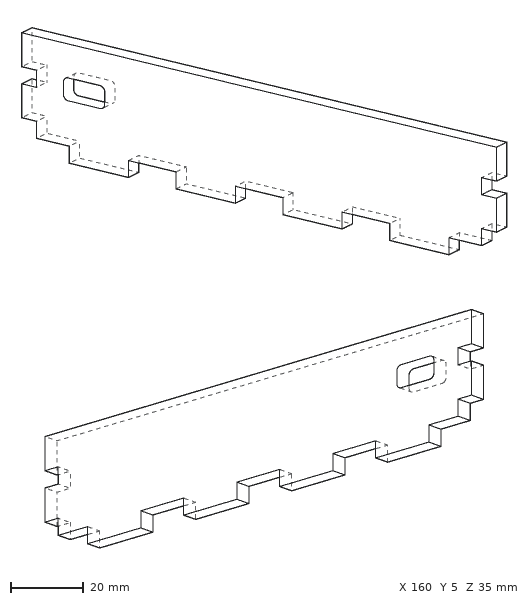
import cadquery as cq

length = 160.0
thickness = length / 32
height = 7 * thickness

joint = thickness
body_height = height - joint

tab_count = 4
tab_width = 4 * joint
tab_pitch = 36.0

notch_top = 2 * joint

window_width = 14.0
window_height = 6.7
window_radius = 1.6
window_left = 14.0
window_top = notch_top


def block(width, tall, center_x, top_z):
    """Full-thickness block, placed by its middle in X and its top in Z."""
    return cq.Workplane("XY").box(width, thickness, tall).translate((center_x, 0, top_z - tall / 2))


def make_body():
    return block(length, body_height, 0, height)


def add_tabs(panel):
    for index in range(tab_count):
        center_x = (index - (tab_count - 1) / 2) * tab_pitch
        panel = panel.union(block(tab_width, joint, center_x, joint))
    return panel


def cut_ends(panel):
    """Cut a notch and a bottom corner step into each end."""
    for side in (-1, 1):
        center_x = side * (length - joint) / 2
        notch = block(joint, joint, center_x, height - notch_top)
        corner_step = block(joint, joint, center_x, 2 * joint)
        panel = panel.cut(notch).cut(corner_step)
    return panel


def cut_window(panel):
    center_x = -length / 2 + window_left + window_width / 2
    window = block(window_width, window_height, center_x, height - window_top)
    return panel.cut(window.edges("|Y").fillet(window_radius))


result = cut_window(cut_ends(add_tabs(make_body())))